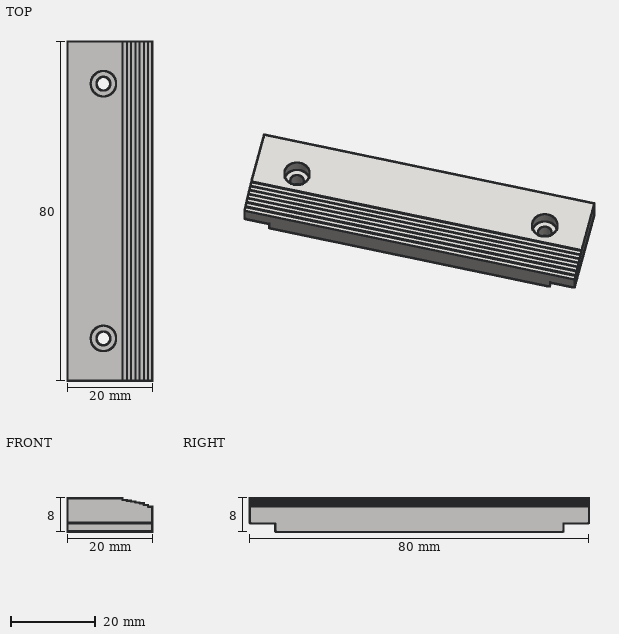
import cadquery as cq

width = 20.0
length = 80.0
height = 8.0

tab_height = 2.0
tab_length = 68.0

end_bevel = 0.2

tread_width = width / 20
coarse_riser = 0.4
fine_riser = coarse_riser / 2
risers = [coarse_riser] + 4 * [fine_riser] + 2 * [coarse_riser]

hole_diameter = 3.2
counterbore_diameter = 6.0
counterbore_depth = 3.5
hole_spacing = 60.0
hole_from_edge = 8.5


def stepped_section():
    """Cross-section in XZ: flat top, then treads descending towards +X."""
    x = width / 2 - tread_width * len(risers)
    z = height
    section = cq.Workplane("XZ").moveTo(-width / 2, height).lineTo(x, z)
    for riser in risers:
        z -= riser
        section = section.lineTo(x, z)
        x += tread_width
        section = section.lineTo(x, z)
    return section.lineTo(width / 2, 0).lineTo(-width / 2, 0).close()


def side_outline():
    """Lengthwise outline in YZ: plate over the tab, with bevelled bottom corners."""
    half_plate = length / 2
    half_tab = tab_length / 2
    half_points = [
        (half_plate, height),
        (half_plate, tab_height + end_bevel),
        (half_plate - end_bevel, tab_height),
        (half_tab, tab_height),
        (half_tab, end_bevel),
        (half_tab - end_bevel, 0),
    ]
    mirrored_points = [(-y, z) for y, z in reversed(half_points)]
    return cq.Workplane("YZ").polyline(half_points + mirrored_points).close()


stepped_bar = stepped_section().extrude(length / 2, both=True)
body = stepped_bar.intersect(side_outline().extrude(width / 2, both=True))

hole_x = hole_from_edge - width / 2
hole_centers = [(hole_x, -hole_spacing / 2), (hole_x, hole_spacing / 2)]
result = (
    body.faces(">Z")
    .workplane(origin=(0, 0, height))
    .pushPoints(hole_centers)
    .cboreHole(hole_diameter, counterbore_diameter, counterbore_depth)
)